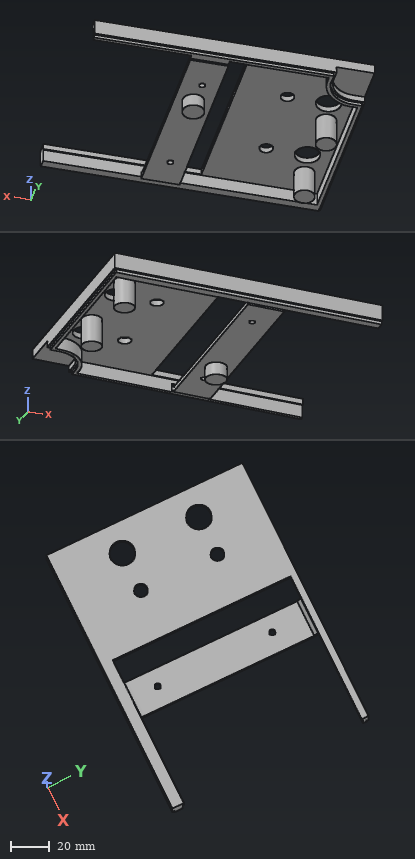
import cadquery as cq

length = 150.0
width = 113.0
height = 19.0
plate_thickness = 3.5
wall_depth = 9.0
lip_depth = 10.8
lip_inset = 1.2

front_wall = 6.0
back_wall = 3.3
end_wall = 3.3

opening_start = 65.4
front_arm = 6.7
back_arm = 4.0

notch_size = 20.4
notch_radius = 14.0
notch_ceiling = 5.5

strip_start = 76.8
strip_width = 20.5
strip_top_depth = 9.1
strip_bottom_depth = 11.8
strip_pad_start = 5.7
strip_pad_end = 107.5
front_curve_start = 9.7
back_slope_start = 107.2
front_curve_rise = 1.2
back_slope_rise = 3.3

hole_rows = (36.0, 80.0)
large_hole_x = 16.2
large_hole_diameter = 13.2
small_hole_x = 38.2
small_hole_diameter = 7.0
strip_hole_x = 86.0
strip_hole_rows = (22.5, 88.5)
strip_hole_diameter = 3.1

foot_diameter = 11.0
plate_foot_x = 14.0
plate_foot_rows = (21.0, 66.0)
strip_foot_center = (87.3, 74.8)
strip_foot_diameter = 11.5

top_z = height


def box_between(x_range, y_range, z_range):
    """Box spanning the given pairs of limits."""
    (x0, x1), (y0, y1), (z0, z1) = x_range, y_range, z_range
    return cq.Workplane("XY").box(x1 - x0, y1 - y0, z1 - z0, centered=False).translate((x0, y0, z0))


def cylinders(centers, diameter, bottom, top):
    """Equal vertical cylinders between two heights."""
    return (
        cq.Workplane("XY", origin=(0, 0, bottom))
        .pushPoints(centers)
        .circle(diameter / 2)
        .extrude(top - bottom)
    )


def corner_block(offset, bottom, top):
    """Block at the -X, +Y corner with a rounded inner corner, grown by offset."""
    size = notch_size + offset
    block = box_between((0, size), (width - size, width), (bottom, top))
    return block.edges("|Z and >X and <Y").fillet(notch_radius + offset)


def make_cover():
    wall_bottom = top_z - wall_depth
    lip_bottom = top_z - lip_depth
    plate_bottom = top_z - plate_thickness
    ceiling = top_z - notch_ceiling

    walls = box_between((0, length), (0, width), (wall_bottom, top_z))
    lip = box_between((lip_inset, length), (lip_inset, width - lip_inset), (lip_bottom, wall_bottom))
    walls = walls.cut(corner_block(0, wall_bottom, ceiling))
    lip = lip.cut(corner_block(lip_inset, lip_bottom, wall_bottom))

    hollow = box_between((end_wall, length), (front_wall, width - back_wall), (lip_bottom, plate_bottom))
    hollow = hollow.cut(corner_block(end_wall, lip_bottom, plate_bottom))
    opening = box_between((opening_start, length), (front_arm, width - back_arm), (plate_bottom, top_z))
    return walls.union(lip).cut(hollow).cut(opening)


def make_strip():
    """Strip with a gentle front curve and a steep back slope up to the arm walls, on a shallow pad."""
    strip_top = top_z - strip_top_depth
    lip_bottom = top_z - lip_depth
    back_face = width - back_wall
    strip = (
        cq.Workplane("YZ", origin=(strip_start, 0, 0))
        .moveTo(front_wall, lip_bottom)
        .lineTo(back_face, lip_bottom)
        .lineTo(back_face, strip_top + back_slope_rise)
        .lineTo(back_slope_start, strip_top)
        .lineTo(front_curve_start, strip_top)
        .tangentArcPoint((front_wall, strip_top + front_curve_rise), relative=False)
        .close()
        .extrude(strip_width)
    )
    pad = box_between(
        (strip_start, strip_start + strip_width),
        (strip_pad_start, strip_pad_end),
        (top_z - strip_bottom_depth, lip_bottom),
    )
    return strip.union(pad)


def make_feet():
    plate_centers = [(plate_foot_x, y) for y in plate_foot_rows]
    plate_feet = cylinders(plate_centers, foot_diameter, 0, top_z - plate_thickness)
    strip_foot = cylinders([strip_foot_center], strip_foot_diameter, 0, top_z - strip_top_depth)
    return plate_feet.union(strip_foot)


def make_holes():
    large = cylinders([(large_hole_x, y) for y in hole_rows], large_hole_diameter, 0, top_z)
    small = cylinders([(small_hole_x, y) for y in hole_rows], small_hole_diameter, 0, top_z)
    strip = cylinders([(strip_hole_x, y) for y in strip_hole_rows], strip_hole_diameter, 0, top_z)
    return large.union(small).union(strip)


result = make_cover().union(make_strip()).union(make_feet()).cut(make_holes())